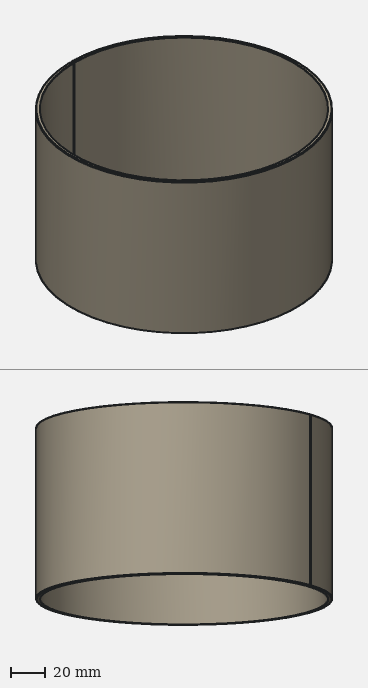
import cadquery as cq

outer_diameter = 170.0
wall_thickness = 2.5
height = 100.0
slit_angle = 1.0
outer_chamfer = 0.5
inner_chamfer = 0.2

outer_radius = outer_diameter / 2
inner_radius = outer_radius - wall_thickness


def make_wall_section():
    """Wall cross-section on the -X side of the XZ plane, chamfered at both rims."""
    return (
        cq.Workplane("XZ")
        .moveTo(-outer_radius, outer_chamfer)
        .lineTo(-outer_radius, height - outer_chamfer)
        .lineTo(-outer_radius + outer_chamfer, height)
        .lineTo(-inner_radius - inner_chamfer, height)
        .lineTo(-inner_radius, height - inner_chamfer)
        .lineTo(-inner_radius, inner_chamfer)
        .lineTo(-inner_radius - inner_chamfer, 0)
        .lineTo(-outer_radius + outer_chamfer, 0)
        .close()
    )


def make_split_sleeve():
    """Sleeve swept counterclockwise about Z from Y = 0, stopping short to leave a slit just above Y = 0."""
    sweep_angle = 360 - slit_angle
    return make_wall_section().revolve(sweep_angle, (0, 0, 0), (0, 1, 0))


result = make_split_sleeve()